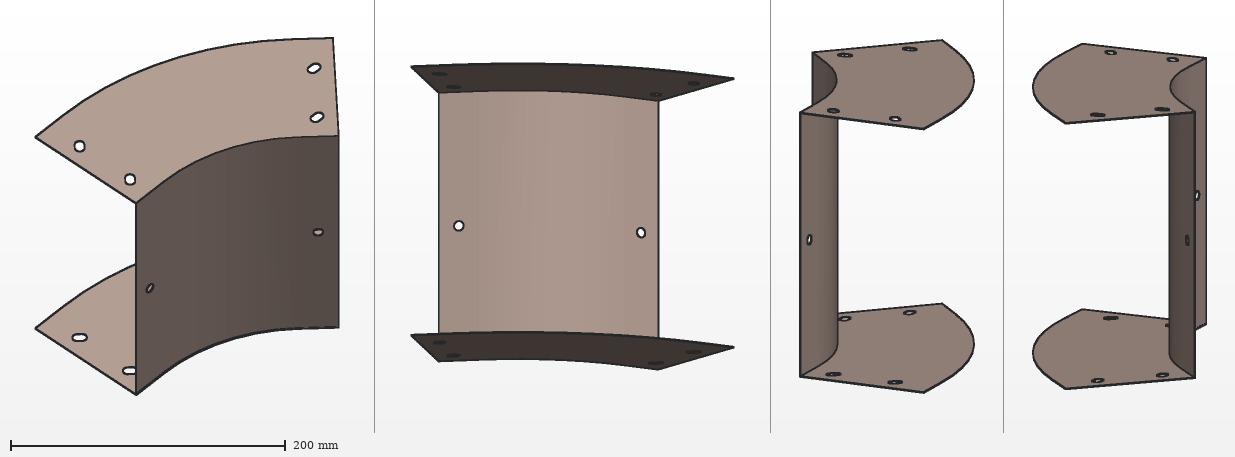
import cadquery as cq
import math

length = 221.0
height = 200.0
width = height / 2
straight = 30.0
bend_angle = 45.0
thickness = 0.75
hole_diameter = 7.0
slot_length = 10.5
slot_spacing = 50.0
slot_inset = 20.0
slot_tilt = 45.0

sin_bend = math.sin(math.radians(bend_angle))
outer_radius = (length - straight) / sin_bend - straight
inner_radius = outer_radius - width
bend_center = (outer_radius, straight)
cut_depth = 4 * thickness


def path_point(radius, angle, run=0.0):
    """Point on the bend at the given angle, continued along its tangent by run."""
    a = math.radians(angle)
    x = bend_center[0] - radius * math.cos(a) + run * math.sin(a)
    y = bend_center[1] + radius * math.sin(a) + run * math.cos(a)
    return (x, y)


def curved_strip(small_radius, large_radius, depth):
    """Straight-bend-straight strip between two concentric radii, extruded up."""
    return (
        cq.Workplane("XY")
        .moveTo(*path_point(large_radius, 0, -straight))
        .lineTo(*path_point(large_radius, 0))
        .threePointArc(path_point(large_radius, bend_angle / 2), path_point(large_radius, bend_angle))
        .lineTo(*path_point(large_radius, bend_angle, straight))
        .lineTo(*path_point(small_radius, bend_angle, straight))
        .lineTo(*path_point(small_radius, bend_angle))
        .threePointArc(path_point(small_radius, bend_angle / 2), path_point(small_radius, 0))
        .lineTo(*path_point(small_radius, 0, -straight))
        .close()
        .extrude(depth)
    )


def flange_slot(center, z, direction):
    """Cutter for one slot through a flange whose middle plane is at z."""
    return (
        cq.Workplane("XY")
        .slot2D(slot_length, hole_diameter)
        .extrude(cut_depth / 2, both=True)
        .rotate((0, 0, 0), (0, 0, 1), direction)
        .translate((center[0], center[1], z))
    )


def wall_hole(center, angle):
    """Radial cutter through the wall at mid-height, where the bend has turned by angle."""
    return (
        cq.Workplane("YZ")
        .circle(hole_diameter / 2)
        .extrude(cut_depth, both=True)
        .rotate((0, 0, 0), (0, 0, 1), -angle)
        .translate((center[0], center[1], height / 2))
    )


flange = curved_strip(inner_radius, outer_radius, thickness)
wall = curved_strip(inner_radius, inner_radius + thickness, height)
result = wall.union(flange).union(flange.translate((0, 0, height - thickness)))

for angle, run in ((0, -straight / 2), (bend_angle, straight / 2)):
    result = result.cut(wall_hole(path_point(inner_radius, angle, run), angle))
    for inset in (slot_inset, slot_inset + slot_spacing):
        slot_center = path_point(inner_radius + inset, angle, run)
        for z, tilt in ((thickness / 2, slot_tilt), (height - thickness / 2, -slot_tilt)):
            direction = tilt - angle
            result = result.cut(flange_slot(slot_center, z, direction))